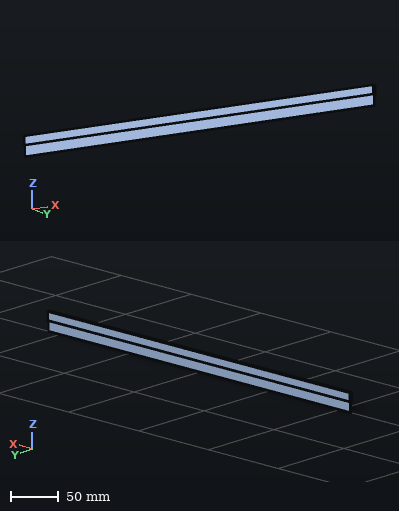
import cadquery as cq

length = 432.0
head_thickness = 4.0
height = 22.0

head_height = 10.0
blade_thickness = 1.5
blade_height = height - head_height


def bar(thickness, bar_height, bottom):
    """Full-length rectangular bar, centred on X and Y, standing on the given Z."""
    return (
        cq.Workplane("XY")
        .workplane(offset=bottom)
        .box(length, thickness, bar_height, centered=(True, True, False))
    )


blade = bar(blade_thickness, blade_height, 0)
head = bar(head_thickness, head_height, blade_height)

result = blade.union(head)